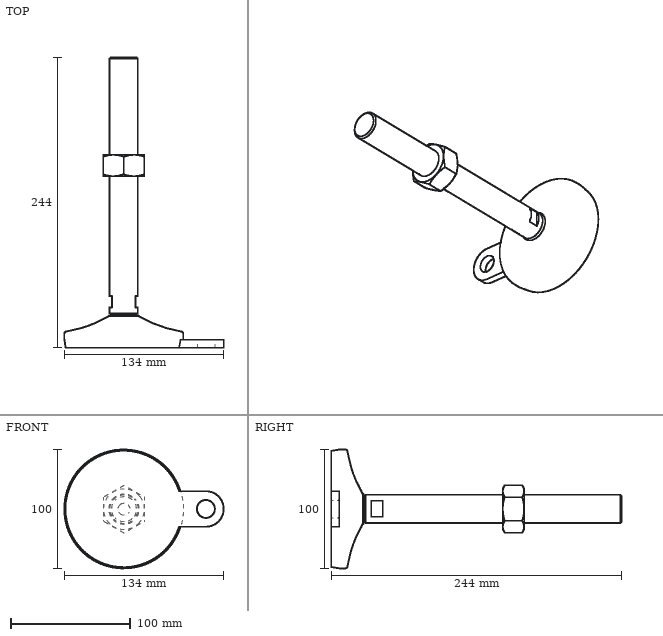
import cadquery as cq
import math

length = 244.0

pad_radius = 50.0
sole_radius = 48.8
taper_height = 7.3
rim_height = 11.7
rim_round = 2.2
cone_mid_radius = 26.8
cone_mid_height = 19.8
cone_top_radius = 12.7
shoulder_height = 26.5
shoulder_round = 0.7

tab_end = 84.0
tab_width = 30.0
tab_thickness = 6.8
tab_hole_diameter = 15.0

rod_radius = 12.0
rod_bottom = 28.5
rod_top_chamfer = 1.5
rod_bottom_bevel_height = 0.5
rod_bottom_bevel_depth = 2.0
neck_diameter = 10.0

flats_width = 19.8
flats_bottom = 34.0
flats_top = 43.5

nut_width = 34.6
nut_bottom = 144.0
nut_height = 18.0
nut_chamfer_angle = 30.0
nut_face_radius = 17.0


def make_pad():
    """Tapered disc with a rounded rim and a hollow-curved cone above it."""
    rounded_radius = pad_radius - rim_round
    rounded_height = rim_height + rim_round
    pad_height = shoulder_height + shoulder_round
    pad_top_radius = cone_top_radius - shoulder_round
    diagonal = math.sqrt(0.5)
    return (
        cq.Workplane("XY")
        .lineTo(sole_radius, 0)
        .lineTo(pad_radius, taper_height)
        .lineTo(pad_radius, rim_height)
        .threePointArc(
            (rounded_radius + rim_round * diagonal, rim_height + rim_round * diagonal),
            (rounded_radius, rounded_height),
        )
        .threePointArc((cone_mid_radius, cone_mid_height), (cone_top_radius, shoulder_height))
        .threePointArc(
            (pad_top_radius + shoulder_round * diagonal, shoulder_height + shoulder_round * diagonal),
            (pad_top_radius, pad_height),
        )
        .lineTo(0, pad_height)
        .close()
        .revolve(360, (0, 0, 0), (0, 1, 0))
    )


def make_tab():
    """Flat round-ended tab reaching out along +X, with its hole."""
    hole_x = tab_end - tab_width / 2
    tab = cq.Workplane("XZ").center(hole_x / 2, 0).rect(hole_x, tab_width).extrude(-tab_thickness)
    tip = cq.Workplane("XZ").center(hole_x, 0).circle(tab_width / 2).extrude(-tab_thickness)
    hole = cq.Workplane("XZ").center(hole_x, 0).circle(tab_hole_diameter / 2).extrude(-tab_thickness)
    return tab.union(tip).cut(hole)


def make_rod():
    """Rod chamfered at the free end and bevelled at the foot, with spanner flats and a neck."""
    rod = (
        cq.Workplane("XZ", origin=(0, rod_bottom, 0))
        .circle(rod_radius)
        .extrude(rod_bottom - length)
        .faces(">Y")
        .chamfer(rod_top_chamfer)
        .faces("<Y")
        .chamfer(rod_bottom_bevel_height, rod_bottom_bevel_depth)
    )
    flats_height = flats_top - flats_bottom
    for side in (-1, 1):
        cutter = cq.Workplane("XY").box(rod_radius, flats_height, 2 * rod_radius)
        cutter_x = side * (flats_width + rod_radius) / 2
        rod = rod.cut(cutter.translate((cutter_x, flats_bottom + flats_height / 2, 0)))
    neck = (
        cq.Workplane("XZ", origin=(0, shoulder_height, 0))
        .circle(neck_diameter / 2)
        .extrude(shoulder_height - rod_bottom)
    )
    return rod.union(neck)


def make_nut():
    """Hexagon with corners on Z, both ends trimmed by a cone."""
    corner_radius = nut_width / 2 / math.cos(math.radians(30))
    hexagon = (
        cq.Workplane("XZ", origin=(0, nut_bottom, 0))
        .polygon(6, 2 * corner_radius)
        .extrude(-nut_height)
        .rotate((0, 0, 0), (0, 1, 0), 30)
    )
    chamfer_height = (corner_radius - nut_face_radius) * math.tan(math.radians(nut_chamfer_angle))
    nut_top = nut_bottom + nut_height
    envelope = (
        cq.Workplane("XY")
        .polyline([
            (0, nut_bottom),
            (nut_face_radius, nut_bottom),
            (corner_radius, nut_bottom + chamfer_height),
            (corner_radius, nut_top - chamfer_height),
            (nut_face_radius, nut_top),
            (0, nut_top),
        ])
        .close()
        .revolve(360, (0, 0, 0), (0, 1, 0))
    )
    return hexagon.intersect(envelope)


result = make_pad().union(make_tab()).union(make_rod()).union(make_nut())